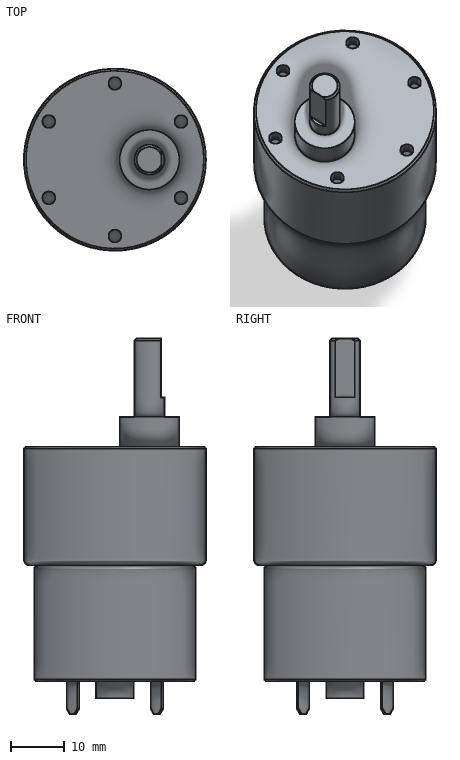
import cadquery as cq
import math


gearbox_diameter = 34.4
gearbox_height = 22.4
gearbox_top_chamfer = 0.4
gearbox_bottom_fillet = 1.05

hole_count = 6
hole_circle_radius = 14.4
hole_diameter = 2.4
hole_depth = 2.85
first_hole_angle = 90

shaft_offset = 6.5
boss_diameter = 11.3
boss_height = 5.6
shaft_diameter = 5.7
shaft_length = 14.8
shaft_tip_chamfer = 0.4
flat_length = 11.15
flat_depth = 0.65

motor_diameter = 30.6
motor_height = 21.9
motor_top_fillet = 0.85
motor_bottom_chamfer = 0.4

stub_diameter = 7.2
stub_length = 3.2

terminal_circle_radius = 11.2
terminal_width = 2.9
terminal_thickness = 0.5
terminal_length = 6.2
terminal_tip_width = 1.1
terminal_taper_length = 1.05
terminal_angles = (45, 225)

boss_top = gearbox_height + boss_height
shaft_top = boss_top + shaft_length
motor_bottom = -motor_height


def cylinder(diameter, bottom, height, center_x=0):
    return cq.Workplane("XY", origin=(center_x, 0, bottom)).circle(diameter / 2).extrude(height)


def make_gearbox():
    body = cylinder(gearbox_diameter, 0, gearbox_height)
    body = body.faces(">Z").edges().chamfer(gearbox_top_chamfer)
    body = body.faces("<Z").edges().fillet(gearbox_bottom_fillet)
    holes = (
        cq.Workplane("XY", origin=(0, 0, gearbox_height))
        .polarArray(hole_circle_radius, first_hole_angle, 360, hole_count)
        .circle(hole_diameter / 2)
        .extrude(-hole_depth)
    )
    return body.cut(holes)


def make_shaft():
    shaft = cylinder(shaft_diameter, boss_top, shaft_length, shaft_offset)
    shaft = shaft.faces(">Z").edges().chamfer(shaft_tip_chamfer)
    flat_x = shaft_offset + shaft_diameter / 2 - flat_depth
    flat_cutter = cq.Workplane("XY", origin=(flat_x, 0, shaft_top - flat_length)).box(
        shaft_diameter, shaft_diameter, flat_length, centered=(False, True, False)
    )
    return shaft.cut(flat_cutter)


def make_motor():
    can = cylinder(motor_diameter, motor_bottom, motor_height)
    can = can.faces(">Z").edges().fillet(motor_top_fillet)
    return can.faces("<Z").edges().chamfer(motor_bottom_chamfer)


def make_terminal(angle):
    half_width = terminal_width / 2
    half_tip = terminal_tip_width / 2
    shoulder_z = terminal_taper_length - terminal_length
    blade = (
        cq.Workplane("YZ")
        .polyline([
            (-half_width, 0),
            (half_width, 0),
            (half_width, shoulder_z),
            (half_tip, -terminal_length),
            (-half_tip, -terminal_length),
            (-half_width, shoulder_z),
        ])
        .close()
        .extrude(terminal_thickness / 2, both=True)
        .rotate((0, 0, 0), (0, 0, 1), angle)
    )
    direction = math.radians(angle)
    center_x = terminal_circle_radius * math.cos(direction)
    center_y = terminal_circle_radius * math.sin(direction)
    return blade.translate((center_x, center_y, motor_bottom))


boss = cylinder(boss_diameter, gearbox_height, boss_height, shaft_offset)
stub = cylinder(stub_diameter, motor_bottom, -stub_length)

result = make_gearbox().union(boss).union(make_shaft()).union(make_motor()).union(stub)
for terminal_angle in terminal_angles:
    result = result.union(make_terminal(terminal_angle))